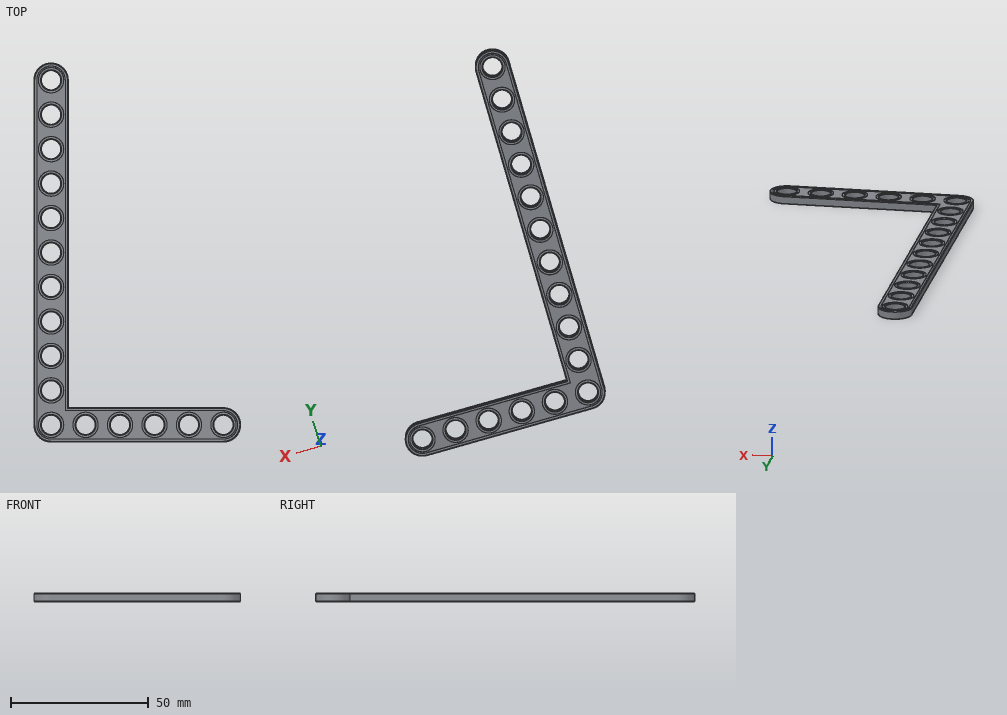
import cadquery as cq

pitch = 12.5
thickness = pitch / 4
holes_along_x = 6
holes_along_y = 11
hole_diameter = 7.0
hole_rim_diameter = 9.2
edge_chamfer = 0.3
recess_depth = 0.2

rim_width = (hole_rim_diameter - hole_diameter) / 2
recess_width = pitch - 2 * rim_width
reach_x = (holes_along_x - 1) * pitch
reach_y = (holes_along_y - 1) * pitch

holes_on_x_arm = [(i * pitch, 0) for i in range(holes_along_x)]
holes_on_y_arm = [(0, i * pitch) for i in range(1, holes_along_y)]
hole_centres = holes_on_x_arm + holes_on_y_arm


def l_shape(width, z_bottom, height):
    """L of two round-ended arms of the given width, centred on the hole rows."""
    base = cq.Workplane("XY", origin=(0, 0, z_bottom))
    arm_x = base.center(reach_x / 2, 0).slot2D(reach_x + width, width).extrude(height)
    arm_y = base.center(0, reach_y / 2).slot2D(reach_y + width, width, 90).extrude(height)
    return arm_x.union(arm_y).clean()


def hole_cylinders(diameter, z_bottom, height):
    """One cylinder at every hole centre."""
    base = cq.Workplane("XY", origin=(0, 0, z_bottom))
    return base.pushPoints(hole_centres).circle(diameter / 2).extrude(height)


def face_recess(z_bottom):
    """Volume sunk into a flat face, leaving the border and the hole rings standing."""
    floor = l_shape(recess_width, z_bottom, recess_depth)
    return floor.cut(hole_cylinders(hole_rim_diameter, z_bottom, recess_depth))


def chamfered_hole_tool():
    """Profile of a through hole flared at both ends, revolved about the Z axis."""
    radius = hole_diameter / 2
    flared_radius = radius + edge_chamfer
    profile = cq.Workplane("XZ").polyline([
        (0, 0),
        (flared_radius, 0),
        (radius, edge_chamfer),
        (radius, thickness - edge_chamfer),
        (flared_radius, thickness),
        (0, thickness),
    ]).close()
    return profile.revolve(360, (0, 0), (0, 1))


result = l_shape(pitch, 0, thickness).faces("<Z or >Z").chamfer(edge_chamfer)

for recess_bottom in (0, thickness - recess_depth):
    result = result.cut(face_recess(recess_bottom))

hole_tool = chamfered_hole_tool()
for x, y in hole_centres:
    result = result.cut(hole_tool.translate((x, y, 0)))